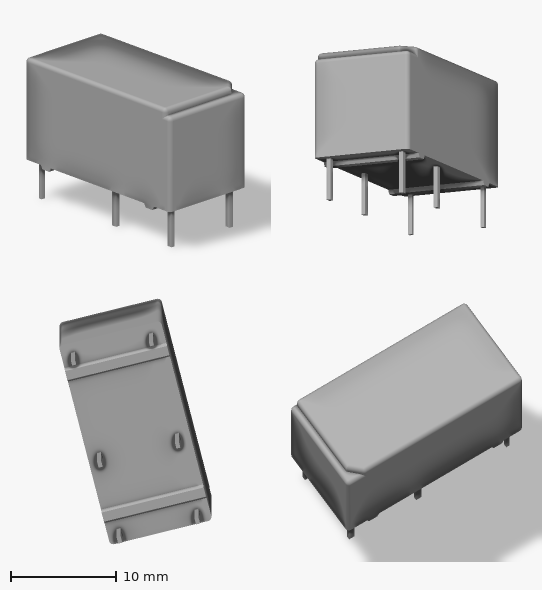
import cadquery as cq

LENGTH = 20.0
WIDTH = 10.0
HEIGHT = 10.3
EDGE_RADIUS = 0.4

STEP_DROP = 0.72
STEP_DEPTH = 0.68
CORNER_CUT = 1.28

FOOT_HEIGHT = 0.4
FOOT_TOP_LENGTH = 1.35
FOOT_BOTTOM_LENGTH = 0.92
FOOT_SPACING = 14.2

PIN_LENGTH = 4.0
PIN_THICKNESS = 0.4
COIL_PIN_WIDTH = 0.4
CONTACT_PIN_WIDTH = 0.6
PIN_ROW_SPACING = 7.62
COIL_PIN_X = -8.9
COMMON_PIN_OFFSET = 10.15
OUTER_PIN_OFFSET = 7.62
COMMON_PIN_X = COIL_PIN_X + COMMON_PIN_OFFSET
OUTER_PIN_X = COMMON_PIN_X + OUTER_PIN_OFFSET


def standing_block(length, height):
    """Block flush with the -X end of the housing, standing on Z = 0."""
    return cq.Workplane("XY").box(length, WIDTH, height, centered=(False, True, False)).translate(
        (-LENGTH / 2, 0, 0)
    )


def make_lower_block():
    """Full-length block up to the step, with rounded upright and top edges."""
    block = standing_block(LENGTH, HEIGHT - STEP_DROP)
    return block.edges("|Z or >Z").fillet(EDGE_RADIUS)


def make_raised_block():
    """Shorter, taller block with one bevelled corner and a rounded top."""
    block = standing_block(LENGTH - STEP_DEPTH, HEIGHT)
    block = block.edges("|Z").edges("<X or <Y").fillet(EDGE_RADIUS)
    block = block.edges("|Z").edges(">X and >Y").chamfer(CORNER_CUT)
    block = block.edges("|Z").edges(">Y").edges(">X").fillet(EDGE_RADIUS)
    return block.faces(">Z").edges().fillet(EDGE_RADIUS)


def make_foot(x):
    """Tapered bar across the full width of the underside."""
    half_top = FOOT_TOP_LENGTH / 2
    half_bottom = FOOT_BOTTOM_LENGTH / 2
    profile = [
        (x - half_top, 0),
        (x + half_top, 0),
        (x + half_bottom, -FOOT_HEIGHT),
        (x - half_bottom, -FOOT_HEIGHT),
    ]
    return cq.Workplane("XZ").polyline(profile).close().extrude(WIDTH / 2, both=True)


def make_housing():
    housing = make_lower_block().union(make_raised_block())
    for side in (-1, 1):
        housing = housing.union(make_foot(side * FOOT_SPACING / 2), clean=False)
    return housing


def make_pin(x, y, width):
    """Rectangular pin hanging from the underside of the housing."""
    pin = cq.Workplane("XY").box(width, PIN_THICKNESS, PIN_LENGTH, centered=(True, True, False))
    return pin.translate((x, y, -PIN_LENGTH))


housing = make_housing()

pin_columns = [
    (COIL_PIN_X, COIL_PIN_WIDTH),
    (COMMON_PIN_X, CONTACT_PIN_WIDTH),
    (OUTER_PIN_X, CONTACT_PIN_WIDTH),
]
pins = []
for pin_x, pin_width in pin_columns:
    for side in (-1, 1):
        pins.append(make_pin(pin_x, side * PIN_ROW_SPACING / 2, pin_width).val())

result = cq.Compound.makeCompound([*housing.vals(), *pins])